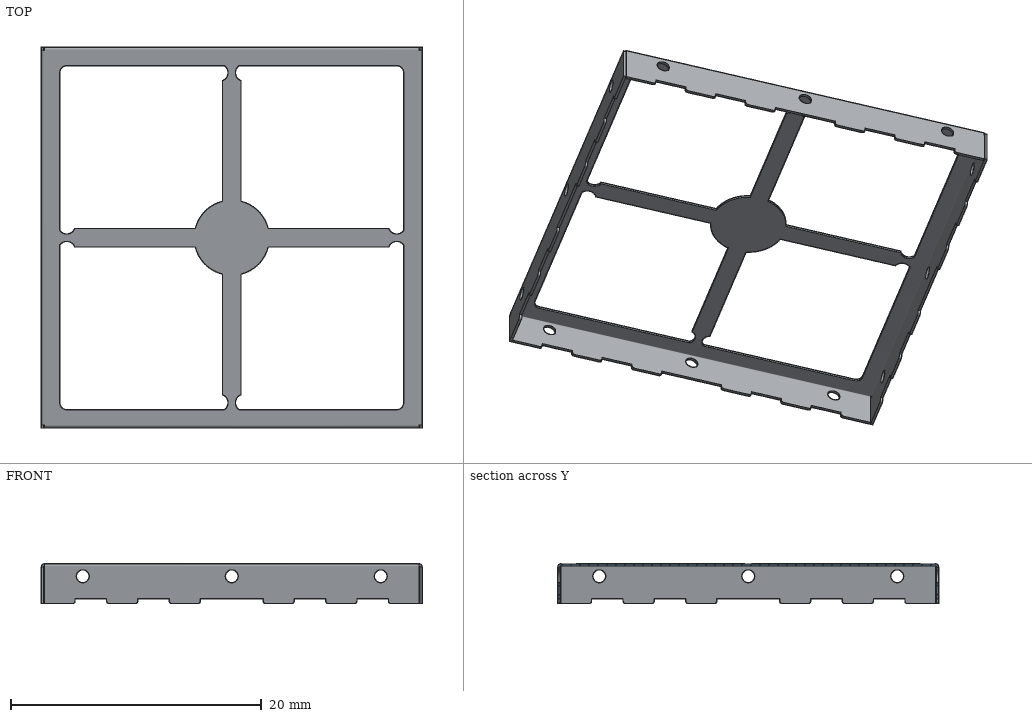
import cadquery as cq
import math

side = 30.4
height = 3.2
sheet = 0.2
bend_radius = 0.25
half = side / 2
fold_line = half - bend_radius

rim_width = 1.5
opening_half = half - rim_width
opening_corner_radius = 0.55
disc_radius = 3.0
spoke_width = 1.5
neck_width = 0.6
neck_from_rim = 0.55
neck_arc_radius = 0.67

hole_diameter = 1.0
hole_drop = 1.0
hole_spacing = 11.9

notch_depth = 0.4
outer_notch_end = 12.5
tooth_pitch = outer_notch_end / 5
tooth_corner_radius = 0.2
notch_spans = ((-5, -4), (-3, -2), (-1, 1), (2, 3), (4, 5))


def centred_box(x_size, y_size, z_size, z_bottom):
    base = cq.Workplane("XY", origin=(0, 0, z_bottom))
    return base.box(x_size, y_size, z_size, centered=(True, True, False))


def folded_channel(length):
    """Channel along Y: flat top with a bent-down wall on each X side."""
    outer = centred_box(side, length, height, 0).edges("|Y and >Z").fillet(bend_radius)
    inner = centred_box(side - 2 * sheet, length, height - sheet, 0)
    inner = inner.edges("|Y and >Z").fillet(bend_radius - sheet)
    return outer.cut(inner)


def quarter_turn(body):
    return body.rotate((0, 0, 0), (0, 0, 1), 90)


def folded_shell():
    """Top sheet with four walls; the X walls run past the ends of the Y walls."""
    x_channel = folded_channel(2 * fold_line)
    y_channel = quarter_turn(x_channel)
    shell = x_channel.union(y_channel)
    wall_height = height - bend_radius
    x_walls = centred_box(side, side, wall_height, 0).cut(
        centred_box(side - 2 * sheet, side, wall_height, 0)
    )
    return shell.union(x_walls)


def spoke_pair():
    """Two opposite spokes along Y, each pinched to a neck where it meets the rim."""
    bar = centred_box(spoke_width, 2 * opening_half, sheet, height - sheet)
    bite_x = neck_width / 2 + neck_arc_radius
    bite_y = opening_half - neck_from_rim
    bites = (
        cq.Workplane("XY", origin=(0, 0, height - sheet))
        .rect(2 * bite_x, 2 * bite_y, forConstruction=True)
        .vertices()
        .circle(neck_arc_radius)
        .extrude(sheet)
    )
    return bar.cut(bites)


def top_opening():
    """Square window in the top sheet, less the spokes and the centre disc."""
    window = centred_box(2 * opening_half, 2 * opening_half, sheet, height - sheet)
    window = window.edges("|Z").fillet(opening_corner_radius)
    disc = cq.Workplane("XY", origin=(0, 0, height - sheet)).circle(disc_radius).extrude(sheet)
    spokes = spoke_pair()
    return window.cut(disc).cut(spokes).cut(quarter_turn(spokes))


def wall_holes():
    """Three holes through both Y walls."""
    places = [(x, height - hole_drop) for x in (-hole_spacing, 0, hole_spacing)]
    return cq.Workplane("XZ").pushPoints(places).circle(hole_diameter / 2).extrude(half, both=True)


def edge_notch(start, end):
    """Notch through both Y walls, flaring out round the tooth corners at the bottom."""
    radius = tooth_corner_radius
    arc_mid = radius * (1 - math.sqrt(0.5))
    return (
        cq.Workplane("XZ")
        .moveTo(start - radius, 0)
        .threePointArc((start - arc_mid, arc_mid), (start, radius))
        .lineTo(start, notch_depth)
        .lineTo(end, notch_depth)
        .lineTo(end, radius)
        .threePointArc((end + arc_mid, arc_mid), (end + radius, 0))
        .close()
        .extrude(half, both=True)
    )


wall_cuts = wall_holes()
for first, last in notch_spans:
    wall_cuts = wall_cuts.union(edge_notch(first * tooth_pitch, last * tooth_pitch))

result = folded_shell().cut(top_opening()).cut(wall_cuts).cut(quarter_turn(wall_cuts))